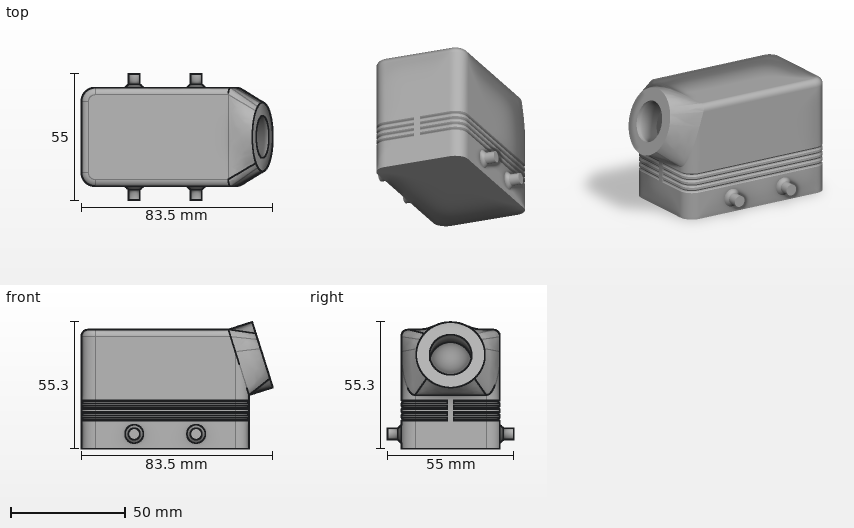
import cadquery as cq
import math

overall_length = 83.5
housing_width = 43.0
housing_height = 52.0
corner_radius = 6.0
top_fillet = 3.0

entry_tilt = math.radians(17.5)
entry_diameter = 30.0
entry_length = 10.9
bore_diameter = 18.4
rim_angles = (49.5, 61.8, 78.8, 136.0)

groove_count = 4
groove_pitch = 2.5
groove_width = 1.5
groove_depth = groove_width / 2
lowest_groove_z = 12.9
groove_gap = 2.75

pin_diameter = 5.0
pin_length = 6.0
pin_flare = 1.5
pin_x_positions = (23.05, 50.0)
pin_z = 6.5

housing_length = overall_length - entry_length * math.cos(entry_tilt)
half_length = housing_length / 2

slant_run = entry_diameter * math.sin(entry_tilt)
slant_drop = entry_diameter * math.cos(entry_tilt)
slant_top_x = housing_length - slant_run
slant_low_z = housing_height - slant_drop
slant_center = cq.Vector(
    housing_length - slant_run / 2,
    0,
    housing_height - slant_drop / 2,
)
entry_axis = cq.Vector(math.cos(entry_tilt), 0, math.sin(entry_tilt))


def rounded_block(inset, bottom_z, height):
    """Upright block with the housing outline moved inward by inset."""
    return (
        cq.Workplane("XY", origin=(half_length, 0, bottom_z))
        .rect(housing_length - 2 * inset, housing_width - 2 * inset)
        .extrude(height)
        .edges("|Z")
        .fillet(corner_radius - inset)
    )


def slanted_housing():
    """Rounded housing with its upper +X corner cut off by the slanted plane."""
    block = rounded_block(0, 0, housing_height).faces(">Z").edges().fillet(top_fillet)
    corner = (
        cq.Workplane("XZ")
        .moveTo(slant_top_x, housing_height)
        .lineTo(housing_length, slant_low_z)
        .lineTo(housing_length, housing_height)
        .close()
        .extrude(housing_width / 2, both=True)
    )
    return block.cut(corner)


def rim_point(degrees):
    """Point on the round end of the cable entry, measured from its top toward +Y."""
    angle = math.radians(degrees)
    end_center = slant_center + entry_axis * entry_length
    uphill = cq.Vector(-math.sin(entry_tilt), 0, math.cos(entry_tilt))
    sideways = cq.Vector(0, 1, 0)
    return end_center + (uphill * math.cos(angle) + sideways * math.sin(angle)) * (entry_diameter / 2)


def cable_entry(slanted_face):
    """Straight-sided transition from the slanted face to a round end."""
    stops = [*rim_angles, *(360 - angle for angle in reversed(rim_angles))]
    next_stops = [*stops[1:], stops[0] + 360]
    arcs = [
        cq.Edge.makeThreePointArc(rim_point(start), rim_point((start + end) / 2), rim_point(end))
        for start, end in zip(stops, next_stops)
    ]
    rim = cq.Wire.assembleEdges(arcs)
    return cq.Solid.makeLoft([slanted_face.outerWire(), rim], True)


def entry_bore():
    """Round hole through the full length of the cable entry."""
    return cq.Solid.makeCylinder(bore_diameter / 2, entry_length, slant_center, entry_axis)


def groove_ring(center_z):
    """V-shaped ring around the housing, interrupted at the middle of both ends."""
    half_width = groove_width / 2
    band = rounded_block(0, center_z - half_width, groove_width)
    outline = rounded_block(0, 0, groove_depth).faces("<Z").wires().val()
    waist = rounded_block(groove_depth, 0, groove_depth).faces("<Z").wires().val()
    for side in (-1, 1):
        core = cq.Solid.makeLoft(
            [
                outline.moved(cq.Location(cq.Vector(0, 0, center_z + side * half_width))),
                waist.moved(cq.Location(cq.Vector(0, 0, center_z))),
            ],
            True,
        )
        band = band.cut(cq.Workplane(core))
    gap = cq.Workplane("XY", origin=(half_length, 0, center_z)).box(
        housing_length, groove_gap, groove_width
    )
    return band.cut(gap)


def locking_pin(x, side):
    """Pin standing out from one long side, with a conical flare at its root."""
    pin_radius = pin_diameter / 2
    flare_radius = pin_radius + pin_flare
    profile = (
        cq.Workplane("XY")
        .moveTo(0, 0)
        .lineTo(flare_radius, 0)
        .lineTo(pin_radius, pin_flare)
        .lineTo(pin_radius, pin_length)
        .lineTo(0, pin_length)
        .close()
    )
    pin = profile.revolve(360, (0, 0, 0), (0, 1, 0))
    if side < 0:
        pin = pin.mirror("XZ")
    return pin.translate((x, side * housing_width / 2, pin_z))


housing = slanted_housing()
slanted_face = housing.faces(cq.selectors.DirectionMinMaxSelector(entry_axis, True)).val()
result = housing.union(cq.Workplane(cable_entry(slanted_face)))
result = result.cut(cq.Workplane(entry_bore()))

for index in range(groove_count):
    result = result.cut(groove_ring(lowest_groove_z + index * groove_pitch))

for pin_x in pin_x_positions:
    for pin_side in (-1, 1):
        result = result.union(locking_pin(pin_x, pin_side))